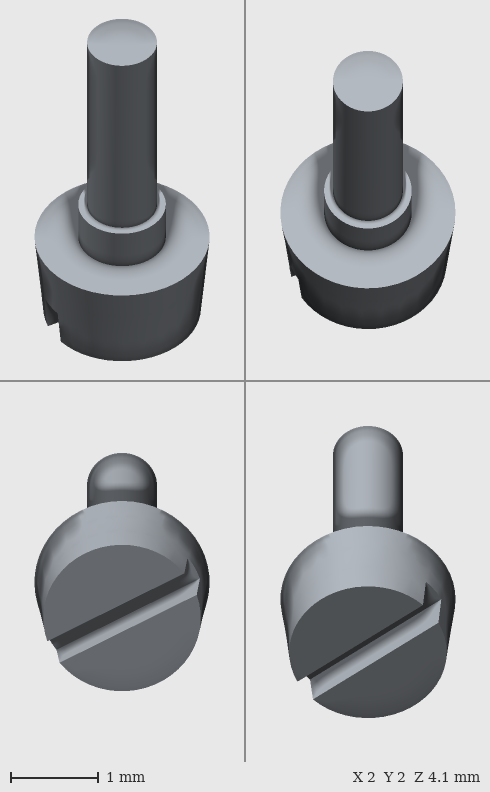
import cadquery as cq

total_height = 4.1

head_top_diameter = 2.0
head_bottom_diameter = 1.8
head_height = 1.103

collar_diameter = 1.0
collar_height = 0.5
shaft_diameter = 0.8

slot_width = 0.3
slot_depth = 0.45

collar_top = head_height + collar_height


def make_body():
    """Revolve the half profile of head, collar and shaft about Z."""
    return (
        cq.Workplane("XZ")
        .lineTo(head_bottom_diameter / 2, 0)
        .lineTo(head_top_diameter / 2, head_height)
        .lineTo(collar_diameter / 2, head_height)
        .lineTo(collar_diameter / 2, collar_top)
        .lineTo(shaft_diameter / 2, collar_top)
        .lineTo(shaft_diameter / 2, total_height)
        .lineTo(0, total_height)
        .close()
        .revolve(360, (0, 0, 0), (0, 1, 0))
    )


def make_slot():
    """Cutter running along Y through the full width of the head."""
    return cq.Workplane("XY").box(
        slot_width, head_top_diameter, slot_depth, centered=(True, True, False)
    )


result = make_body().cut(make_slot())